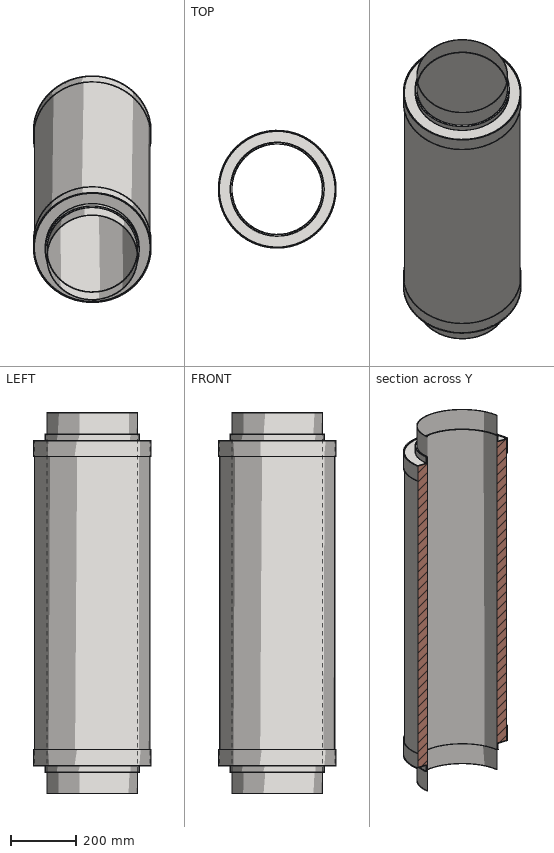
import cadquery as cq

total_length = 1170
sheet = 1.25

rim_diameter = 362.5
core_diameter = 355
collar_diameter = 289.5
spigot_diameter = 279.5

spigot_length = 65
collar_length = 20
rim_length = 50

rim_radius = rim_diameter / 2
collar_radius = collar_diameter / 2
spigot_radius = spigot_diameter / 2
rim_inner_radius = rim_radius - sheet
collar_inner_radius = collar_radius - sheet
core_radius = core_diameter / 2
bore_radius = spigot_radius - sheet

spigot_top = total_length / 2
collar_top = spigot_top - spigot_length
rim_top = collar_top - collar_length
rim_bottom = rim_top - rim_length

collar_underside = collar_top - sheet
rim_underside = rim_top - sheet


def revolve_about_z(outline):
    """Revolve a closed outline of (radius, height) points about the Z axis."""
    return cq.Workplane("XZ").polyline(outline).close().revolve(360, (0, 0), (0, 1))


def make_core():
    """Thick core cylinder with a through bore; narrow necks fill the collars of both caps."""
    return revolve_about_z([
        (bore_radius, -collar_underside),
        (collar_inner_radius, -collar_underside),
        (collar_inner_radius, -rim_underside),
        (core_radius, -rim_underside),
        (core_radius, rim_underside),
        (collar_inner_radius, rim_underside),
        (collar_inner_radius, collar_underside),
        (bore_radius, collar_underside),
    ])


def make_end_cap():
    """Top end cap of one sheet thickness: spigot, collar, flat annular face and rim."""
    return revolve_about_z([
        (spigot_radius, spigot_top),
        (spigot_radius, collar_top),
        (collar_radius, collar_top),
        (collar_radius, rim_top),
        (rim_radius, rim_top),
        (rim_radius, rim_bottom),
        (rim_inner_radius, rim_bottom),
        (rim_inner_radius, rim_underside),
        (collar_inner_radius, rim_underside),
        (collar_inner_radius, collar_underside),
        (bore_radius, collar_underside),
        (bore_radius, spigot_top),
    ])


core = make_core()

end_caps = []
for turn in (0, 180):
    end_caps.append(make_end_cap().rotate((0, 0, 0), (1, 0, 0), turn))

result = cq.Compound.makeCompound([core.val(), *[cap.val() for cap in end_caps]])